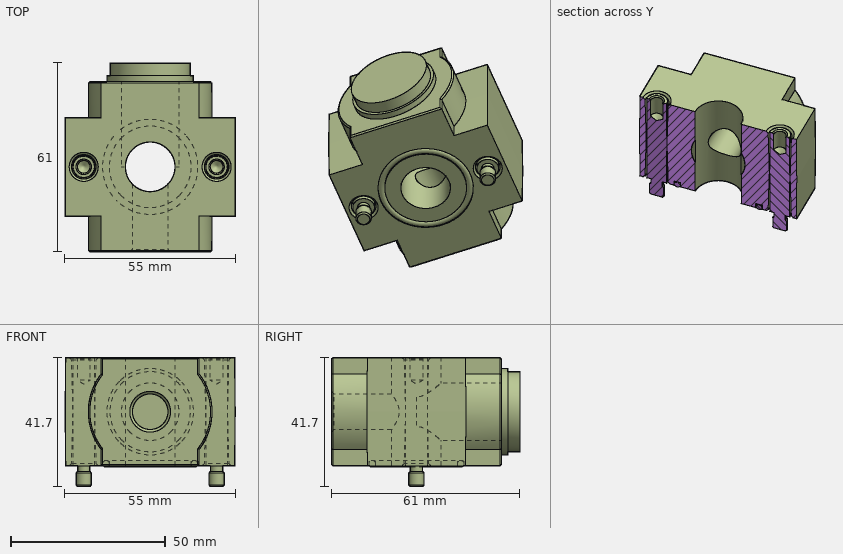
import cadquery as cq
import math

block_length = 55.0
block_width = 32.0
housing_height = 35.0
draft_angle = 0.5
neck_length = 55.0
neck_diameter = 40.0
neck_flat_width = 31.7
neck_chamfer = 0.5
half_height = housing_height / 2
rear_face = neck_length / 2

vertical_bore_diameter = 16.0
inlet_bore_diameter = 11.45
inlet_mouth_diameter = 13.2
inlet_chamfer = (inlet_mouth_diameter - inlet_bore_diameter) / 2
rear_bore_diameter = 18.6

groove_inner_diameter = 26.4
groove_outer_diameter = 30.8
seal_protrusion = 0.4
seal_thickness = (groove_outer_diameter - groove_inner_diameter) / 2
groove_depth = seal_thickness - seal_protrusion

flange_diameter = 28.0
flange_thickness = 2.0
cap_diameter = 26.0
cap_thickness = 3.95

stud_offset = 21.5
stud_positions = [-stud_offset, stud_offset]
stud_body_diameter = 7.0
stud_hole_waist_diameter = 7.1
stud_hole_end_diameter = 7.9
stud_hole_mouth_diameter = 9.4
stud_hole_chamfer = (stud_hole_mouth_diameter - stud_hole_end_diameter) / 2
waist_diameter = 4.0
waist_length = 1.75
thread_diameter = 5.0
stud_projection = 6.7
thread_chamfer = (thread_diameter - waist_diameter) / 2
socket_diameter = 4.15
socket_depth = 7.3
socket_chamfer = (thread_diameter - socket_diameter) / 2
drill_tip_angle = 118.0


def cylinder_along_y(diameter, y_start, y_end):
    """Cylinder on the Y axis between two Y positions."""
    length = y_end - y_start
    return cq.Workplane("XZ", origin=(0, y_start, 0)).circle(diameter / 2).extrude(-length)


def centre_block():
    """Block that tapers away from the parting plane at Z = 0."""
    footprint = cq.Workplane("XY").rect(block_length, block_width)
    upper_half = footprint.extrude(half_height, taper=draft_angle)
    return upper_half.union(upper_half.mirror("XY"))


def neck():
    """Flat-topped neck with round sides and chamfered ends."""
    round_sides = cylinder_along_y(neck_diameter, -rear_face, rear_face)
    height_limit = cq.Workplane("XY").box(neck_diameter, neck_length, housing_height)
    flats = cq.Workplane("XY").box(neck_flat_width, neck_length, housing_height)
    body = round_sides.intersect(height_limit).union(flats)
    return body.faces("<Y or >Y").chamfer(neck_chamfer)


def seal_groove():
    """Ring-shaped cutter for the groove in the underside."""
    underside = cq.Workplane("XY", origin=(0, 0, -half_height))
    ring = underside.circle(groove_outer_diameter / 2).circle(groove_inner_diameter / 2)
    return ring.extrude(groove_depth)


def inlet_passage():
    """Cutter for the front bore, from its chamfered mouth to the vertical bore."""
    bore_radius = inlet_bore_diameter / 2
    mouth_radius = inlet_mouth_diameter / 2
    profile = (
        cq.Workplane("XY")
        .moveTo(0, -rear_face)
        .lineTo(mouth_radius, -rear_face)
        .lineTo(bore_radius, -rear_face + inlet_chamfer)
        .lineTo(bore_radius, 0)
        .lineTo(0, 0)
        .close()
    )
    return profile.revolve(360, (0, 0, 0), (0, 1, 0))


def stud_hole(x):
    """Cutter that widens from the parting plane to a chamfered mouth at each face."""
    waist_radius = stud_hole_waist_diameter / 2
    end_radius = stud_hole_end_diameter / 2
    mouth_radius = stud_hole_mouth_diameter / 2
    taper_end = half_height - stud_hole_chamfer
    profile = (
        cq.Workplane("XZ")
        .moveTo(0, -half_height)
        .lineTo(mouth_radius, -half_height)
        .lineTo(end_radius, -taper_end)
        .lineTo(waist_radius, 0)
        .lineTo(end_radius, taper_end)
        .lineTo(mouth_radius, half_height)
        .lineTo(0, half_height)
        .close()
    )
    return profile.revolve(360, (0, 0, 0), (0, 1, 0)).translate((x, 0, 0))


def make_housing():
    body = centre_block().union(neck())
    vertical_bore = cq.Workplane("XY").circle(vertical_bore_diameter / 2)
    body = body.cut(vertical_bore.extrude(half_height, both=True))
    body = body.cut(inlet_passage())
    body = body.cut(cylinder_along_y(rear_bore_diameter, 0, rear_face))
    for x in stud_positions:
        body = body.cut(stud_hole(x))
    return body.cut(seal_groove())


def make_seal_ring():
    """Round-section ring that touches the groove floor and both walls."""
    centre_radius = (groove_outer_diameter + groove_inner_diameter) / 4
    section_height = -half_height - seal_protrusion + seal_thickness / 2
    section = cq.Workplane("XZ").center(centre_radius, section_height).circle(seal_thickness / 2)
    return section.revolve(360, (-centre_radius, 0, 0), (-centre_radius, 1, 0))


def make_rear_plug():
    """Stepped disc that closes the rear bore."""
    cap_start = rear_face + flange_thickness
    flange = cylinder_along_y(flange_diameter, rear_face, cap_start)
    cap = cylinder_along_y(cap_diameter, cap_start, cap_start + cap_thickness)
    return flange.union(cap)


def make_stud(x):
    """Turned stud: plain body with a tapped top end and a threaded tail below."""
    body_radius = stud_body_diameter / 2
    waist_radius = waist_diameter / 2
    thread_radius = thread_diameter / 2
    socket_radius = socket_diameter / 2
    tail_end = -half_height - stud_projection
    waist_end = -half_height - waist_length
    socket_floor = half_height - socket_depth
    tip_depth = socket_radius / math.tan(math.radians(drill_tip_angle / 2))
    profile = (
        cq.Workplane("XZ")
        .moveTo(0, tail_end)
        .lineTo(waist_radius, tail_end)
        .lineTo(thread_radius, tail_end + thread_chamfer)
        .lineTo(thread_radius, waist_end - thread_chamfer)
        .lineTo(waist_radius, waist_end)
        .lineTo(waist_radius, -half_height)
        .lineTo(body_radius, -half_height)
        .lineTo(body_radius, half_height)
        .lineTo(thread_radius, half_height)
        .lineTo(socket_radius, half_height - socket_chamfer)
        .lineTo(socket_radius, socket_floor)
        .lineTo(0, socket_floor - tip_depth)
        .close()
    )
    return profile.revolve(360, (0, 0, 0), (0, 1, 0)).translate((x, 0, 0))


housing = make_housing()
seal_ring = make_seal_ring()
rear_plug = make_rear_plug()
studs = [make_stud(x) for x in stud_positions]

result = cq.Compound.makeCompound([
    housing.val(),
    seal_ring.val(),
    rear_plug.val(),
    *[stud.val() for stud in studs],
])